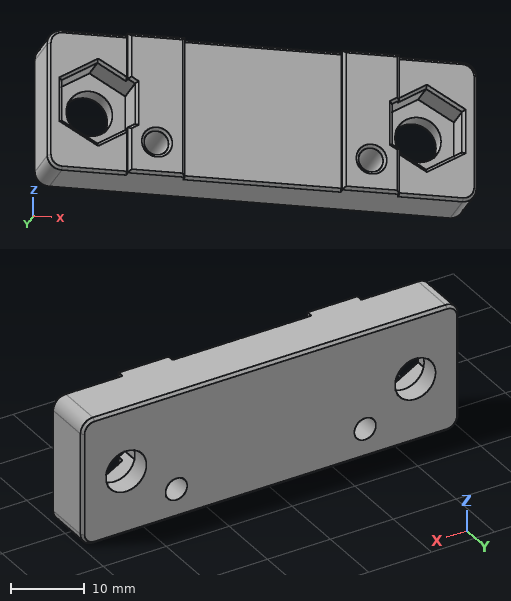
import cadquery as cq
import math

length = 60.0
height = 20.0
total_depth = 9.0
pad_rise = 1.0
thickness = total_depth - pad_rise
corner_radius = 2.0
edge_chamfer = 0.4

pad_width = 8.0
pad_x = 15.0

screw_diameter = 3.4
screw_z = -5.4

bolt_x = 23.0
bolt_diameter = 6.4
nut_across_flats = 10.0
pocket_floor = 3.0


def front_plane(y):
    """Sketch plane at depth y whose extrusions run toward the back (+Y)."""
    return cq.Workplane(cq.Plane(origin=(0, y, 0), xDir=(1, 0, 0), normal=(0, 1, 0)))


def hexagon(workplane, x, across_flats):
    """Hexagon with a corner pointing up, centred at (x, z = 0)."""
    corner_distance = across_flats / math.sqrt(3)
    corners = [
        (
            x + corner_distance * math.sin(math.radians(angle)),
            corner_distance * math.cos(math.radians(angle)),
        )
        for angle in range(0, 360, 60)
    ]
    return workplane.polyline(corners).close()


def make_block():
    return (
        cq.Workplane("XY")
        .box(length, thickness, height)
        .translate((0, thickness / 2, 0))
        .edges("|Y")
        .fillet(corner_radius)
        .faces("<Y or >Y")
        .edges()
        .chamfer(edge_chamfer)
    )


def make_pad(x):
    """Pad sunk into the block past its edge chamfer so that its ends stay square."""
    depth = pad_rise + edge_chamfer
    return (
        cq.Workplane("XY")
        .box(pad_width, depth, height)
        .translate((x, depth / 2 - pad_rise, 0))
        .faces("<Y")
        .edges()
        .chamfer(edge_chamfer)
    )


def pocket_mouth(x, y):
    """Tapered hexagon that bevels the pocket rim on a front surface at depth y."""
    mouth = hexagon(front_plane(y), x, nut_across_flats + 2 * edge_chamfer)
    return mouth.extrude(edge_chamfer, taper=45)


def nut_pocket(side):
    """Hexagonal pocket with its rim bevelled on both the block and the pad."""
    x = side * bolt_x
    pocket = hexagon(front_plane(-pad_rise), x, nut_across_flats).extrude(total_depth - pocket_floor)
    pad_zone = (
        cq.Workplane("XY")
        .box(pad_width, 2 * total_depth, height)
        .translate((side * pad_x, 0, 0))
    )
    block_mouth = pocket_mouth(x, 0).cut(pad_zone)
    pad_mouth = pocket_mouth(x, -pad_rise).intersect(pad_zone)
    return pocket.union(block_mouth).union(pad_mouth)


def bolt_hole(x):
    return front_plane(-pad_rise).center(x, 0).circle(bolt_diameter / 2).extrude(total_depth)


def screw_hole(x):
    """Through hole with a bevelled rim on the pad."""
    radius = screw_diameter / 2
    profile = [
        (0, -pad_rise),
        (radius + edge_chamfer, -pad_rise),
        (radius, edge_chamfer - pad_rise),
        (radius, thickness),
        (0, thickness),
    ]
    hole = cq.Workplane("XY").polyline(profile).close().revolve(360, (0, 0, 0), (0, 1, 0))
    return hole.translate((x, 0, screw_z))


result = make_block()
for side in (-1, 1):
    result = result.union(make_pad(side * pad_x))

for side in (-1, 1):
    result = result.cut(nut_pocket(side))
    result = result.cut(bolt_hole(side * bolt_x))
    result = result.cut(screw_hole(side * pad_x))